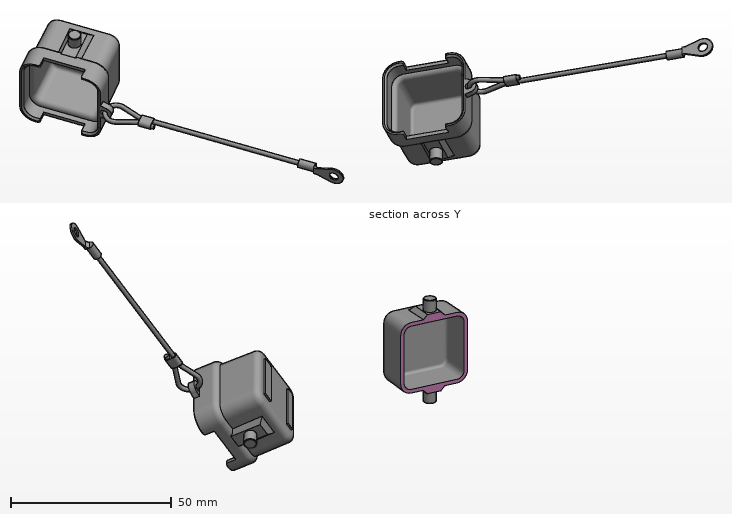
import cadquery as cq
import math

total_length = 107.5
total_height = 35.0

rim_width = 27.0
rim_corner = 5.3
rim_depth = 8.6
rim_round = 2.0

body_width = 24.2
body_corner = 4.0
body_back = 22.4
body_back_round = 2.0
draft_angle = 0.8

mouth_chamfer = 0.6
pocket_width = 24.5
pocket_depth = 5.5
pocket_corner = 4.0
step_round = 1.5
cavity_width = 21.3
cavity_corner = 2.5
cavity_floor_round = 1.0
back_wall = 1.5

notch_width = 13.8
notch_depth = 3.7
notch_mouth_round = 0.8

boss_width = 8.3
boss_bevel = 1.7
boss_back = 19.2
boss_front = 7.1
pin_diameter = 4.1
pin_y = 12.7
pin_chamfer = 0.2

pads = [(-7.3, 2.9), (6.9, 3.8)]
pad_height = 0.59
pad_length = 15.9

lug_thickness = 2.0
lug_length = 3.5
lug_root_width = 5.7
lug_root_depth = 0.4
lug_neck_width = 4.7
lug_neck_length = 1.4
lug_hole_diameter = 1.9
lug_hole_offset = 1.0

cord_radius = 0.8
loop_radius = 3.4
bend_radius = 3.2
cord_offset = 1.0
loop_start_offset = 1.3
ferrule_start = 26.2
ferrule_length = 4.1
ferrule_radius = 1.1
cord_tail = 1.0

barrel_start = 78.8
barrel_length = 5.3
barrel_radius = 1.4
ring_radius = 3.1
ring_hole_radius = 1.5
tongue_thickness = 0.59
neck_length = 1.1
neck_width = 2.6

rim_half = rim_width / 2
boss_top = rim_half
cord_mid_y = lug_thickness / 2
cord_y = cord_mid_y + cord_offset
barrel_end = barrel_start + barrel_length
ring_x = total_length - rim_half - ring_radius
tongue_y = cord_y - barrel_radius


def rounded_square(y, width, corner, depth, taper=0):
    """Square block centred on the Y axis with rounded corners, extruded from y towards the back."""
    plane = cq.Plane(origin=(0, y, 0), xDir=(1, 0, 0), normal=(0, 1, 0))
    sketch = cq.Sketch().rect(width, width).vertices().fillet(corner)
    return cq.Workplane(plane).placeSketch(sketch).extrude(depth, taper=taper)


def rod_x(radius, x_start, length, y):
    """Round rod along X at height Z = 0."""
    return cq.Workplane("YZ", origin=(x_start, y, 0)).circle(radius).extrude(length)


def make_shell():
    """Solid outer form of the cap: the wide rim and the drafted body behind it."""
    rim = rounded_square(0, rim_width, rim_corner, rim_depth)
    rim = rim.faces(">Y").edges().fillet(rim_round)
    body_start = rim_depth - rim_round
    body = rounded_square(body_start, body_width, body_corner, body_back - body_start, draft_angle)
    body = body.faces(">Y").edges().fillet(body_back_round)
    return rim.union(body)


def make_boss():
    """Wedge boss on the top side, bevelled at 45 degrees on its back end and both flanks."""
    root_z = boss_top - boss_bevel
    profile = [
        (boss_front, 0),
        (boss_back, 0),
        (boss_back, root_z),
        (boss_back - boss_bevel, boss_top),
        (boss_front, boss_top),
    ]
    boss = (
        cq.Workplane("YZ", origin=(-boss_width / 2, 0, 0))
        .polyline(profile).close()
        .extrude(boss_width)
    )
    flank_edges = boss.faces(">Z").edges("|Y")
    return flank_edges.chamfer(boss_bevel)


def make_pin():
    """Locking pin standing on the top boss, rooted inside it."""
    root_z = boss_top - boss_bevel
    pin = (
        cq.Workplane("XY", origin=(0, pin_y, root_z))
        .circle(pin_diameter / 2)
        .extrude(total_height / 2 - root_z)
    )
    return pin.faces(">Z").edges().chamfer(pin_chamfer)


def make_hollow():
    """Space inside the cap, with the step between pocket and cavity rounded over."""
    pocket = rounded_square(0, pocket_width, pocket_corner, pocket_depth)
    cavity_depth = body_back - back_wall - pocket_depth
    cavity = rounded_square(pocket_depth, cavity_width, cavity_corner, cavity_depth)
    cavity = cavity.faces(">Y").edges().fillet(cavity_floor_round)
    hollow = pocket.union(cavity)
    step_face = hollow.faces(cq.selectors.NearestToPointSelector((0, pocket_depth, 0))).val()
    step_edges = step_face.innerWires()[0].Edges()
    hollow = hollow.newObject(step_edges).fillet(step_round)
    mouth_width = pocket_width + 2 * mouth_chamfer
    mouth = rounded_square(0, mouth_width, pocket_corner + mouth_chamfer, mouth_chamfer, 45)
    return hollow.union(mouth)


def make_notch():
    """Cutter for the top and bottom rim notches, rounded where they meet the mouth."""
    half = notch_width / 2
    flare = half + notch_mouth_round
    mid_inset = notch_mouth_round * (1 - math.sqrt(0.5))
    return (
        cq.Workplane("XY", origin=(0, 0, -rim_width))
        .moveTo(-flare, 0)
        .threePointArc((-half - mid_inset, mid_inset), (-half, notch_mouth_round))
        .lineTo(-half, notch_depth)
        .lineTo(half, notch_depth)
        .lineTo(half, notch_mouth_round)
        .threePointArc((half + mid_inset, mid_inset), (flare, 0))
        .close()
        .extrude(2 * rim_width)
    )


def make_pads():
    """Low raised pads on the back face, half sunk into the wall."""
    all_pads = cq.Workplane("XY")
    for x, width in pads:
        block = cq.Workplane("XY").box(width, 2 * pad_height, pad_length)
        all_pads = all_pads.union(block.translate((x, body_back, 0)))
    return all_pads


def make_lug():
    """Flat lug on the +X side of the rim, with a round nose and a hole for the cord."""
    root = rim_half - lug_root_depth
    neck = rim_half + lug_neck_length
    lug = (
        cq.Workplane("XZ", origin=(0, lug_thickness, 0))
        .moveTo(root, -lug_root_width / 2)
        .lineTo(rim_half, -lug_root_width / 2)
        .lineTo(neck, -lug_neck_width / 2)
        .threePointArc((rim_half + lug_length, 0), (neck, lug_neck_width / 2))
        .lineTo(rim_half, lug_root_width / 2)
        .lineTo(root, lug_root_width / 2)
        .close()
        .extrude(lug_thickness)
    )
    hole = (
        cq.Workplane("XZ", origin=(rim_half + lug_hole_offset, lug_thickness, 0))
        .circle(lug_hole_diameter / 2)
        .extrude(lug_thickness)
    )
    return lug.cut(hole)


def make_loop():
    """Cord loop: a round eye, then two straight legs bending into the ferrule."""
    eye_x = rim_half + loop_start_offset + loop_radius
    bend_offset = cord_offset + bend_radius
    span = ferrule_start - eye_x
    normal = math.atan2(bend_offset, span) + math.acos(
        (loop_radius + bend_radius) / math.hypot(span, bend_offset)
    )
    half_turn = (normal + math.pi / 2) / 2

    def on_eye(angle, side):
        return (eye_x + loop_radius * math.cos(angle),
                cord_mid_y + side * loop_radius * math.sin(angle))

    def on_bend(angle, side):
        return (ferrule_start - bend_radius * math.cos(angle),
                cord_mid_y + side * (bend_offset - bend_radius * math.sin(angle)))

    path = cq.Workplane("XY").moveTo(ferrule_start, cord_mid_y + cord_offset)
    path = path.threePointArc(on_bend(half_turn, 1), on_bend(normal, 1))
    path = path.lineTo(*on_eye(normal, 1))
    path = path.threePointArc(on_eye(math.pi, 1), on_eye(normal, -1))
    path = path.lineTo(*on_bend(normal, -1))
    path = path.threePointArc(on_bend(half_turn, -1), (ferrule_start, cord_mid_y - cord_offset))
    start = cq.Workplane("YZ", origin=(ferrule_start, cord_y, 0))
    return start.circle(cord_radius).sweep(path)


def make_ferrule():
    """Oval sleeve around both runs of the cord."""
    return (
        cq.Workplane("YZ", origin=(ferrule_start, cord_mid_y, 0))
        .slot2D(2 * (cord_offset + ferrule_radius), 2 * ferrule_radius)
        .extrude(ferrule_length)
    )


def make_cord():
    """Straight run of cord from inside the ferrule to inside the crimp barrel."""
    start = ferrule_start + ferrule_length / 2
    end = barrel_start + barrel_length / 2
    return rod_x(cord_radius, start, end - start, cord_y)


def make_tail():
    """Short cord end that sticks out of the ferrule."""
    start = ferrule_start + ferrule_length / 2
    return rod_x(cord_radius, start, ferrule_length / 2 + cord_tail, cord_mid_y - cord_offset)


def make_terminal():
    """Crimp barrel, sloping neck and flat ring tongue."""
    barrel = rod_x(barrel_radius, barrel_start, barrel_length, cord_y)
    tongue_start = barrel_end + neck_length
    neck_half = neck_width / 2
    neck = (
        cq.Workplane("XY", origin=(0, 0, -neck_half))
        .moveTo(barrel_end, tongue_y)
        .lineTo(tongue_start, tongue_y)
        .lineTo(tongue_start, tongue_y + tongue_thickness)
        .lineTo(barrel_end, cord_y)
        .close()
        .extrude(neck_width)
    )
    reach = ring_x - tongue_start
    corner_angle = math.pi - math.atan2(neck_half, reach)
    touch = corner_angle - math.acos(ring_radius / math.hypot(reach, neck_half))
    touch_x = ring_x + ring_radius * math.cos(touch)
    touch_z = ring_radius * math.sin(touch)
    tongue = (
        cq.Workplane("XZ", origin=(0, tongue_y + tongue_thickness, 0))
        .moveTo(tongue_start, -neck_half)
        .lineTo(touch_x, -touch_z)
        .threePointArc((ring_x + ring_radius, 0), (touch_x, touch_z))
        .lineTo(tongue_start, neck_half)
        .close()
        .extrude(tongue_thickness)
    )
    hole = (
        cq.Workplane("XZ", origin=(ring_x, tongue_y + tongue_thickness, 0))
        .circle(ring_hole_radius)
        .extrude(tongue_thickness)
    )
    return barrel.union(neck).union(tongue.cut(hole))


cap = make_shell()
for part in (make_boss(), make_pin()):
    cap = cap.union(part).union(part.mirror("XY"))
cap = cap.cut(make_hollow()).cut(make_notch()).union(make_pads())

tether = make_lug().union(make_loop()).union(make_ferrule())
tether = tether.union(make_cord()).union(make_tail())
tether = tether.union(make_terminal())

result = cap.union(tether)